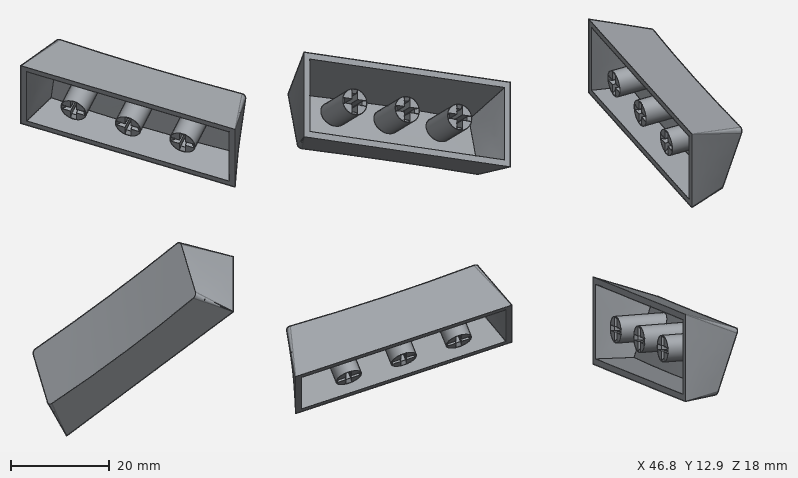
import cadquery as cq
import math


rim_width = 46.75
rim_height = 18.0
depth = 12.95
shallow_depth = 8.15
face_width = 41.45
face_top_z = 4.65
face_bottom_z = -8.85
face_corner_radius = 0.95
rim_corner_radius = 0.025
dish_sag = 0.55

wall = 1.3
face_thickness = 1.0
cavity_depth = 12.55
cavity_shallow_depth = 7.95
cavity_top_z = 3.45
cavity_bottom_z = -7.55
cavity_top_width = 39.0
cavity_bottom_width = 39.1

stem_count = 3
stem_pitch = 11.87
stem_diameter = 5.45
cross_span = 3.97
cross_mouth_span = 5.3
cross_bar_width = 1.25
cross_bar_height = 1.1
cross_lead_in = 0.65

rim_y = -depth / 2
face_run = shallow_depth - depth
face_fall = face_bottom_z - face_top_z
face_length = math.hypot(face_run, face_fall)

face_plane = cq.Plane(
    origin=(0, rim_y + (depth + shallow_depth) / 2, (face_top_z + face_bottom_z) / 2),
    xDir=(-1, 0, 0),
    normal=(0, -face_fall, face_run),
)


def dish_cutter(offset):
    """Cylinder along the slope of the face, grown by offset to leave an even wall."""
    radius = ((face_width / 2) ** 2 + dish_sag**2) / (2 * dish_sag)
    axis_height = radius - dish_sag
    plane = cq.Plane(
        origin=face_plane.toWorldCoords((0, -face_length, axis_height)),
        xDir=face_plane.xDir,
        normal=face_plane.yDir,
    )
    return cq.Workplane(plane).circle(radius + offset).extrude(2 * face_length)


def make_outer():
    """Solid from the nearly sharp rim to the rounded face, then dished."""
    rim_plane = cq.Plane(origin=(0, rim_y, 0), xDir=(-1, 0, 0), normal=(0, 1, 0))
    rim = cq.Sketch().rect(rim_width, rim_height).vertices().fillet(rim_corner_radius)
    face = cq.Sketch().rect(face_width, face_length).vertices().fillet(face_corner_radius)
    face_location = rim_plane.location.inverse * face_plane.location
    body = cq.Workplane(rim_plane).placeSketch(rim, face.moved(face_location)).loft(ruled=True)
    return body.cut(dish_cutter(0))


def make_cavity():
    """Tapered hollow whose end face follows the dish."""
    half_width = rim_width / 2 - wall
    half_height = rim_height / 2 - wall
    half_top = cavity_top_width / 2
    half_bottom = cavity_bottom_width / 2
    top_y = rim_y + cavity_depth
    bottom_y = rim_y + cavity_shallow_depth
    mouth = cq.Wire.makePolygon(
        [
            cq.Vector(-half_width, rim_y, -half_height),
            cq.Vector(half_width, rim_y, -half_height),
            cq.Vector(half_width, rim_y, half_height),
            cq.Vector(-half_width, rim_y, half_height),
        ],
        close=True,
    )
    end = cq.Wire.makePolygon(
        [
            cq.Vector(-half_bottom, bottom_y, cavity_bottom_z),
            cq.Vector(half_bottom, bottom_y, cavity_bottom_z),
            cq.Vector(half_top, top_y, cavity_top_z),
            cq.Vector(-half_top, top_y, cavity_top_z),
        ],
        close=True,
    )
    return cq.Workplane(cq.Solid.makeLoft([mouth, end], True)).cut(dish_cutter(face_thickness))


def make_cross_arm(width):
    """Level slot of the cross, with ends that flare toward the stem mouth."""
    half_span = cross_span / 2
    half_mouth = cross_mouth_span / 2
    profile = [
        (-half_mouth, 0),
        (half_mouth, 0),
        (half_span, cross_lead_in),
        (half_span, depth),
        (-half_span, depth),
        (-half_span, cross_lead_in),
    ]
    return cq.Workplane("XY").polyline(profile).close().extrude(width / 2, both=True)


def make_stem():
    """Round post with a cross socket, its mouth at Y = 0, running toward +Y."""
    post = cq.Workplane("XZ").circle(stem_diameter / 2).extrude(-depth)
    level_arm = make_cross_arm(cross_bar_height)
    upright_arm = make_cross_arm(cross_bar_width).rotate((0, 0, 0), (0, 1, 0), 90)
    return post.cut(level_arm).cut(upright_arm)


cavity = make_cavity()
stem = make_stem()
result = make_outer().cut(cavity)
for index in range(stem_count):
    stem_x = (index - (stem_count - 1) / 2) * stem_pitch
    placed_stem = stem.translate((stem_x, rim_y, 0)).intersect(cavity)
    result = result.union(placed_stem)